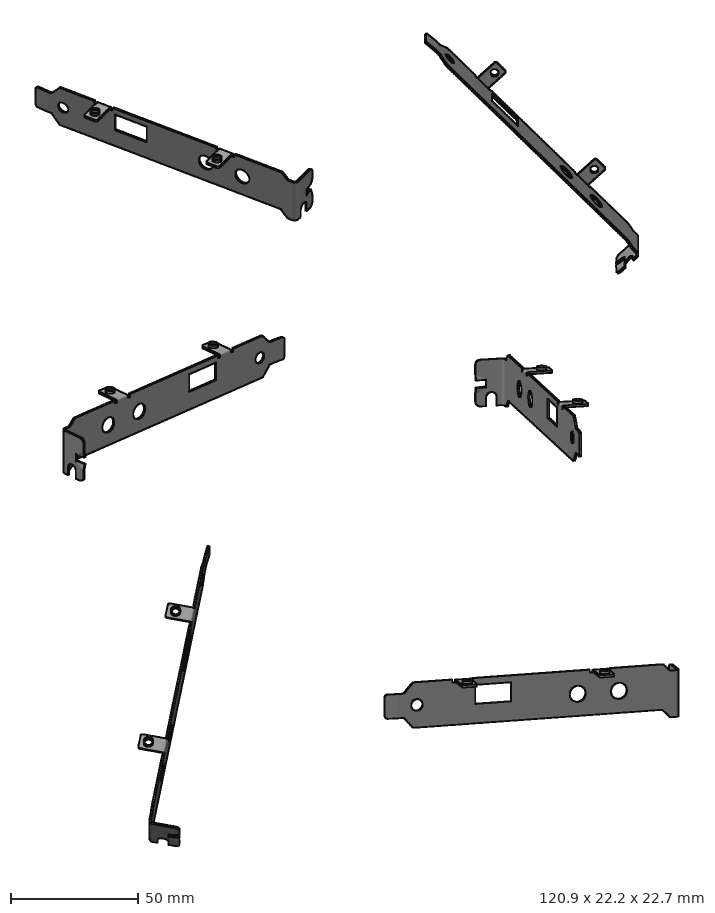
import cadquery as cq
import math


length = 120.9
thickness = 0.8
through = 36.3

plate_bottom = 3.3
plate_top = 21.6
plate_mid = (plate_bottom + plate_top) / 2
shoulder_start = 7.6
shoulder_end = 11.5
tongue_width = 9.8
tongue_bottom = plate_mid - tongue_width / 2
tongue_top = plate_mid + tongue_width / 2
tongue_corner_radius = 1.2

tongue_bend_start = 5.2
tongue_bend_radius = 3.9
tongue_angle = math.radians(5)

flange_top = 18.9
flange_reach = 12.3
flange_foot = 117.0
bend_radius = 1.8
flange_corner_radius = 2.0

small_hole_diameter = 4.7
small_hole_x = 13.0
connector_hole_diameter = 6.5
connector_hole_places = (79.0, 96.0)
connector_hole_z = 12.2
window_left = 37.0
window_right = 51.7
window_bottom = 11.1
window_top = flange_top

tab_places = (31.8, 88.2)
tab_width = 6.0
tab_thickness = 1.0
tab_reach = 9.9
tab_corner_radius = 0.8
tab_bend_radius = thickness
relief_width = 1.2
relief_depth = 1.3
collar_diameter = 3.9
collar_bore = 3.1
collar_y = -6.3
collar_top = 22.7

screw_slot_width = 4.4
screw_slot_y = 5.8
screw_slot_top = 5.5
guide_slot_width = 3.3
guide_slot_z = 9.2
guide_slot_depth = 4.4

lip_width = 2.3
lip_overhang = 0.4
lip_angle = 16.0


def tongue_points(radius):
    """Free end and bend end of a tongue face that bends with this radius."""
    bend_end_x = tongue_bend_start - radius * math.sin(tongue_angle)
    bend_end_y = tongue_bend_radius - radius * math.cos(tongue_angle)
    free_end_y = bend_end_y + bend_end_x * math.tan(tongue_angle)
    return (0, free_end_y), (bend_end_x, bend_end_y)


def make_strip():
    """Bent sheet: tongue, plate and flange, not yet trimmed to its outline."""
    inner_radius = bend_radius - thickness
    tongue_inner_radius = tongue_bend_radius - thickness
    front_end, front_bend = tongue_points(tongue_bend_radius)
    back_end, back_bend = tongue_points(tongue_inner_radius)
    profile = (
        cq.Workplane("XY")
        .moveTo(*front_end)
        .lineTo(*front_bend)
        .radiusArc((tongue_bend_start, 0), -tongue_bend_radius)
        .lineTo(length - bend_radius, 0)
        .radiusArc((length, bend_radius), -bend_radius)
        .lineTo(length, flange_reach)
        .lineTo(length - thickness, flange_reach)
        .lineTo(length - thickness, bend_radius)
        .radiusArc((length - bend_radius, thickness), inner_radius)
        .lineTo(tongue_bend_start, thickness)
        .radiusArc(back_bend, tongue_inner_radius)
        .lineTo(*back_end)
        .close()
    )
    return profile.extrude(plate_top)


def side_outline():
    """Prism along Y whose outline trims the plate, tongue and flange height."""
    upper_slope = plate_top - flange_top
    lower_slope = plate_bottom
    points = [
        (0, tongue_bottom),
        (shoulder_start, tongue_bottom),
        (shoulder_end, plate_bottom),
        (flange_foot - lower_slope, plate_bottom),
        (flange_foot, 0),
        (length, 0),
        (length, flange_top),
        (flange_foot, flange_top),
        (flange_foot - upper_slope, plate_top),
        (shoulder_end, plate_top),
        (shoulder_start, tongue_top),
        (0, tongue_top),
    ]
    outline = cq.Workplane("XZ").polyline(points).close().extrude(through, both=True)
    return outline.edges("|Y and <X").fillet(tongue_corner_radius)


def plate_openings():
    """Round holes and the rectangular window."""
    connector_places = [(x, connector_hole_z) for x in connector_hole_places]
    window_place = ((window_left + window_right) / 2, (window_bottom + window_top) / 2)
    openings = (
        cq.Workplane("XZ")
        .pushPoints([(small_hole_x, plate_mid)])
        .circle(small_hole_diameter / 2)
        .pushPoints(connector_places)
        .circle(connector_hole_diameter / 2)
        .pushPoints([window_place])
        .rect(window_right - window_left, window_top - window_bottom)
    )
    return openings.extrude(thickness, both=True)


def tab_reliefs(x):
    """Round-bottomed notches in the plate edge on both sides of a tab."""
    offset = (tab_width + relief_width) / 2
    places = [(x - offset, plate_top), (x + offset, plate_top)]
    slots = cq.Workplane("XZ").pushPoints(places).slot2D(2 * relief_depth, relief_width, 90)
    return slots.extrude(thickness, both=True)


def tab_space(x):
    """Block that clears the sharp plate edge where a tab bends away."""
    block = cq.Workplane("XY").box(tab_width, 2 * thickness, 2 * tab_thickness)
    return block.translate((x, 0, plate_top))


def make_tab(x):
    """Tab bent outward from the top edge of the plate, with its collar."""
    depth = tab_reach + thickness
    tab = (
        cq.Workplane("XY")
        .box(tab_width, depth, tab_thickness)
        .edges("|Z and <Y")
        .fillet(tab_corner_radius)
        .edges("|X and >Y and >Z")
        .fillet(tab_bend_radius)
        .translate((x, thickness - depth / 2, plate_top - tab_thickness / 2))
    )
    base = cq.Workplane("XY").workplane(offset=plate_top - tab_thickness).center(x, collar_y)
    collar_height = collar_top - plate_top + tab_thickness
    collar = base.circle(collar_diameter / 2).extrude(collar_height)
    bore = base.circle(collar_bore / 2).extrude(collar_height)
    return tab.union(collar).cut(bore)


def flat_lip(side):
    """Sheet of a lip above (side = 1) or below (side = -1) the guide slot, before bending."""
    slot_edge = guide_slot_z + side * guide_slot_width / 2
    lip_edge = slot_edge - side * lip_overhang
    root_y = flange_reach - guide_slot_depth
    points = [
        (root_y, slot_edge),
        (root_y + lip_overhang, lip_edge),
        (flange_reach, lip_edge),
        (flange_reach, slot_edge + side * lip_width),
    ]
    plane = cq.Workplane("YZ").workplane(offset=length - thickness)
    return plane.polyline(points).close().extrude(thickness)


def bend_lip(lip, side):
    """Turn a lip toward the plate about its fold line on the outer flange face."""
    slot_edge = guide_slot_z + side * guide_slot_width / 2
    root = (length, flange_reach - guide_slot_depth, slot_edge)
    fold_end = (length, flange_reach, slot_edge + side * lip_width)
    return lip.rotate(root, fold_end, side * lip_angle)


def flange_zone():
    """Block that holds everything beyond the start of the flange bend."""
    block = cq.Workplane("XY").box(bend_radius, through, 2 * through)
    return block.translate((length - bend_radius / 2, 0, 0))


def flange_outline():
    """Prism along X with the rounded, slotted shape of the flange."""
    outline = (
        cq.Workplane("YZ")
        .lineTo(flange_reach - flange_corner_radius, 0)
        .radiusArc((flange_reach, flange_corner_radius), -flange_corner_radius)
        .lineTo(flange_reach, flange_top - flange_corner_radius)
        .radiusArc((flange_reach - flange_corner_radius, flange_top), -flange_corner_radius)
        .lineTo(0, flange_top)
        .close()
        .extrude(length)
    )
    screw_slot_length = 2 * screw_slot_top
    screw_slot = (
        cq.Workplane("YZ")
        .center(screw_slot_y, 0)
        .slot2D(screw_slot_length, screw_slot_width, 90)
        .extrude(length)
    )
    guide_slot = (
        cq.Workplane("YZ")
        .center(flange_reach - guide_slot_depth / 2, guide_slot_z)
        .rect(guide_slot_depth, guide_slot_width)
        .extrude(length)
    )
    return outline.cut(screw_slot).cut(guide_slot)


strip = make_strip().intersect(side_outline()).cut(plate_openings())
flange = strip.intersect(flange_zone()).intersect(flange_outline())
result = strip.cut(flange_zone()).union(flange)

for side in (1, -1):
    lip = flat_lip(side)
    result = result.cut(lip).union(bend_lip(lip, side))
for x in tab_places:
    result = result.cut(tab_reliefs(x)).cut(tab_space(x)).union(make_tab(x))